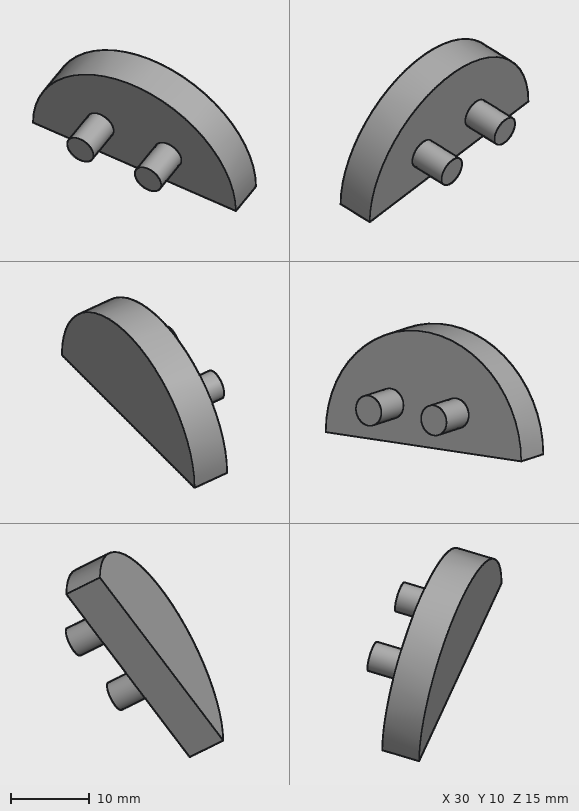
import cadquery as cq

plate_width = 30.0
plate_radius = plate_width / 2
plate_thickness = plate_width / 6

peg_diameter = 3.9
peg_length = plate_thickness
peg_spacing = plate_width / 3
peg_height = plate_width / 6

plate = (
    cq.Workplane("XZ")
    .moveTo(-plate_radius, 0)
    .threePointArc((0, plate_radius), (plate_radius, 0))
    .close()
    .extrude(-plate_thickness)
)

pegs = (
    cq.Workplane("XZ")
    .pushPoints([(side * peg_spacing / 2, peg_height) for side in (-1, 1)])
    .circle(peg_diameter / 2)
    .extrude(peg_length)
)

result = plate.union(pegs)